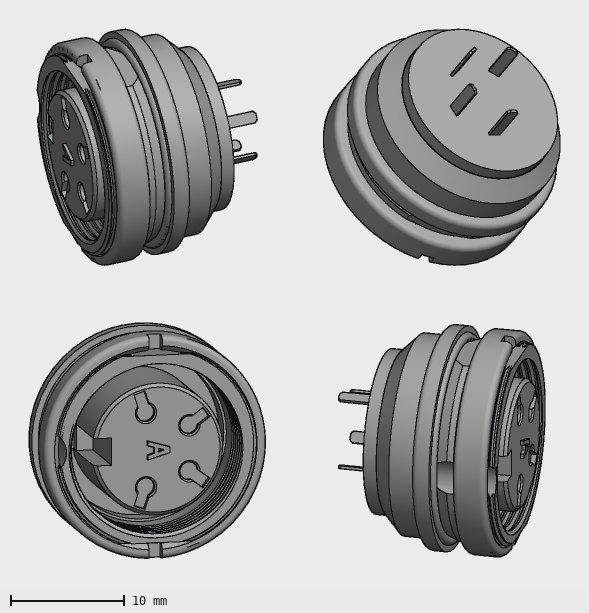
import cadquery as cq
import math


ring_front = 0.55
ring_width = 3.0
ring_rear = ring_front + ring_width
ring_radius = 10.0
ring_bore_radius = 8.68
ring_mouth_radius = 9.15
ring_slot_width = 1.2
ring_slot_depth = 1.0
edge_rounding = 0.5

thread_radius = 9.0
thread_root_radius = 8.7
thread_pitch = 0.5
thread_groove_width = 0.45
thread_root_width = 0.15
thread_turns = 6
thread_angle = 60
relief_front = 3.3
relief_rear = 3.75
neck_cone_start = 4.35
neck_radius = 8.52
flange_front = 5.65
flange_rear = 7.25
flange_radius = ring_radius
seal_center_radius = 8.95
seal_section_radius = 0.48
seal_center = 5.7
body_radius = thread_radius
body_cone_start = 9.55
body_cone_end = 11.15
body_cone_end_radius = 7.4
tail_radius = 7.35
tail_rear = 12.35

bore_radius = 7.65
bore_depth = 6.0
bore_thread_root_radius = 7.95
bore_thread_pitch = 0.75
bore_groove_width = 0.6
bore_root_width = 0.15
bore_thread_turns = 5
bore_thread_angle = 110
inner_bore_radius = 7.4
cavity_depth = 8.0

flat_height = 8.4
groove_radius = 2.0
groove_bottom = 8.18

insert_front = -0.3
insert_radius = 5.9
insert_chamfer = 0.3
key_width = 2.45
key_bottom = 4.18
key_depth = 7.0
key_floor_edge = 5.65

mark_height = 0.3
mark_base = -0.98
mark_notch_end = -0.4
mark_tip = 1.0
mark_base_half = 0.85
mark_notch_mouth_half = 0.42
mark_notch_end_half = 0.25
mark_tip_half = 0.25
mark_window_start = -0.05
mark_window_end = 0.45
mark_window_half = 0.15

contact_circle_radius = 3.5
contact_angles = (-108, -36, 36, 108)
contact_hole_radius = 0.95
contact_hole_chamfer = 0.15
contact_hole_depth = 0.5
contact_slot_width = 1.05
contact_slot_end = 5.4
pin_width = 1.05
pin_thickness = 0.25
pin_rear = 16.15
pin_chamfer = 0.25


def box(x_range, y_range, z_range):
    """Box between the given limits."""
    sizes = [high - low for low, high in (x_range, y_range, z_range)]
    corner = (x_range[0], y_range[0], z_range[0])
    return cq.Workplane("XY").box(*sizes, centered=False).translate(corner)


def cylinder(radius, y_start, y_end, x=0.0):
    """Cylinder parallel to the Y axis."""
    base = cq.Workplane("XZ", origin=(x, y_start, 0))
    return base.circle(radius).extrude(y_start - y_end)


def revolve(profile):
    """Turn a closed (radius, Y) profile about the Y axis."""
    return profile.close().revolve(360, (0, 0, 0), (0, 1, 0))


def make_thread_groove(open_radius, root_radius, open_width, root_width, pitch, turns, angle):
    """Right-handed thread groove whose middle crosses Y = 0 at the given angle.

    The angle runs clockwise from +X, seen from the front. The groove starts one turn
    ahead of Y = 0, so that it runs out through the front face.
    """
    overlap = math.copysign(0.02, open_radius - root_radius)
    path = cq.Wire.makeHelix(pitch, (turns + 1) * pitch, root_radius)
    section = cq.Workplane("XZ").polyline([
        (root_radius, -root_width / 2),
        (open_radius + overlap, -open_width / 2),
        (open_radius + overlap, open_width / 2),
        (root_radius, root_width / 2),
    ]).close()
    groove = section.sweep(cq.Workplane(path), isFrenet=True).translate((0, 0, -pitch))
    return groove.rotate((0, 0, 0), (1, 0, 0), -90).rotate((0, 0, 0), (0, 1, 0), angle)


def make_housing():
    """Sleeve, flange and rear body turned about the Y axis."""
    corner = edge_rounding * (1 - math.sqrt(0.5))
    profile = (
        cq.Workplane("XY")
        .moveTo(0, 0)
        .lineTo(thread_radius, 0)
        .lineTo(thread_radius, relief_front)
        .lineTo(ring_bore_radius, ring_rear)
        .lineTo(thread_radius, relief_rear)
        .lineTo(thread_radius, neck_cone_start)
        .lineTo(neck_radius, flange_front)
        .lineTo(flange_radius, flange_front)
        .lineTo(flange_radius, flange_rear - edge_rounding)
        .threePointArc(
            (flange_radius - corner, flange_rear - corner),
            (flange_radius - edge_rounding, flange_rear),
        )
        .lineTo(body_radius, flange_rear)
        .lineTo(body_radius, body_cone_start)
        .lineTo(body_cone_end_radius, body_cone_end)
        .lineTo(tail_radius, body_cone_end)
        .lineTo(tail_radius, tail_rear)
        .lineTo(0, tail_rear)
    )
    return revolve(profile)


def cut_outer_thread(housing):
    """Fine thread that the clamping ring sits on."""
    return housing.cut(make_thread_groove(
        thread_radius, thread_root_radius, thread_groove_width, thread_root_width,
        thread_pitch, thread_turns, thread_angle,
    ))


def cut_bore(housing):
    """Threaded bore that narrows to a smooth bore with a flat floor."""
    housing = housing.cut(cylinder(bore_radius, 0, bore_depth))
    housing = housing.cut(cylinder(inner_bore_radius, bore_depth, cavity_depth))
    return housing.cut(make_thread_groove(
        bore_radius, bore_thread_root_radius, bore_groove_width, bore_root_width,
        bore_thread_pitch, bore_thread_turns, bore_thread_angle,
    ))


def cut_sleeve_outside(housing):
    """Two flats at +Z and -Z and a round groove at -X, from the front to the flange."""
    span = (-flange_radius, flange_radius)
    length = (0, flange_front)
    housing = housing.cut(box(span, length, (flat_height, flange_radius)))
    housing = housing.cut(box(span, length, (-flange_radius, -flat_height)))
    groove_center = -(groove_bottom + groove_radius)
    return housing.cut(cylinder(groove_radius, 0, flange_front, x=groove_center))


def make_seal():
    """Round-section seal ring against the front of the flange."""
    section = cq.Workplane("XY").center(seal_center_radius, seal_center).circle(seal_section_radius)
    return section.revolve(360, (-seal_center_radius, 0, 0), (-seal_center_radius, 1, 0))


def make_ring():
    """Clamping ring with rounded rims, a chamfered mouth and two spanner slots."""
    ring = cylinder(ring_radius, ring_front, ring_rear)
    ring = ring.edges().fillet(edge_rounding)
    ring = ring.cut(cylinder(ring_bore_radius, ring_front, ring_rear))
    mouth_depth = ring_mouth_radius - ring_bore_radius
    mouth = cq.Workplane("XY").moveTo(0, ring_front).lineTo(ring_mouth_radius, ring_front)
    mouth = mouth.lineTo(ring_bore_radius, ring_front + mouth_depth)
    mouth = mouth.lineTo(0, ring_front + mouth_depth)
    ring = ring.cut(revolve(mouth))
    slot_half = ring_slot_width / 2
    slot = box(
        (-slot_half, slot_half),
        (ring_front, ring_front + ring_slot_depth),
        (-ring_radius, ring_radius),
    )
    return ring.cut(slot)


def make_contact_recess(angle):
    """Countersunk socket with a radial slot running outward from it."""
    floor = insert_front + contact_hole_depth
    countersink_floor = insert_front + contact_hole_chamfer
    inner_radius = contact_hole_radius - contact_hole_chamfer
    profile = (
        cq.Workplane("XY")
        .moveTo(0, insert_front)
        .lineTo(contact_hole_radius, insert_front)
        .lineTo(inner_radius, countersink_floor)
        .lineTo(inner_radius, floor)
        .lineTo(0, floor)
    )
    socket = revolve(profile).translate((contact_circle_radius, 0, 0))
    slot = box(
        (contact_circle_radius, contact_slot_end),
        (insert_front, floor),
        (-contact_slot_width / 2, contact_slot_width / 2),
    )
    return socket.union(slot).rotate((0, 0, 0), (0, 1, 0), -angle)


def make_insert():
    """Contact carrier with a front chamfer, a keyway and the contact recesses."""
    insert = cylinder(insert_radius, insert_front, cavity_depth)
    insert = insert.faces("<Y").chamfer(insert_chamfer)
    key_span = (-key_width / 2, key_width / 2)
    insert = insert.cut(box((-insert_radius, -key_bottom), (insert_front, key_depth), key_span))
    insert = insert.cut(box((-insert_radius, -key_floor_edge), (insert_front, cavity_depth), key_span))
    for angle in contact_angles:
        insert = insert.cut(make_contact_recess(angle))
    return insert


def make_mark():
    """Raised polarity mark at the center of the insert face."""
    face = cq.Workplane("XZ", origin=(0, insert_front, 0))
    outline = [
        (mark_base, mark_base_half),
        (mark_tip, mark_tip_half),
        (mark_tip, -mark_tip_half),
        (mark_base, -mark_base_half),
        (mark_base, -mark_notch_mouth_half),
        (mark_notch_end, -mark_notch_end_half),
        (mark_notch_end, mark_notch_end_half),
        (mark_base, mark_notch_mouth_half),
    ]
    window = [
        (mark_window_start, mark_window_half),
        (mark_window_end, 0),
        (mark_window_start, -mark_window_half),
    ]
    mark = face.polyline(outline).close().extrude(mark_height)
    return mark.cut(face.polyline(window).close().extrude(mark_height))


def make_pin(angle):
    """Flat solder pin whose broad side faces the axis."""
    pin = box(
        (contact_circle_radius - pin_thickness / 2, contact_circle_radius + pin_thickness / 2),
        (tail_rear, pin_rear),
        (-pin_width / 2, pin_width / 2),
    )
    pin = pin.faces(">Y").edges("|X").chamfer(pin_chamfer)
    return pin.rotate((0, 0, 0), (0, 1, 0), -angle)


housing = cut_outer_thread(make_housing())
housing = cut_bore(housing)
housing = cut_sleeve_outside(housing)
result = housing.union(make_seal()).union(make_ring()).union(make_insert()).union(make_mark())
for pin_angle in contact_angles:
    result = result.union(make_pin(pin_angle))